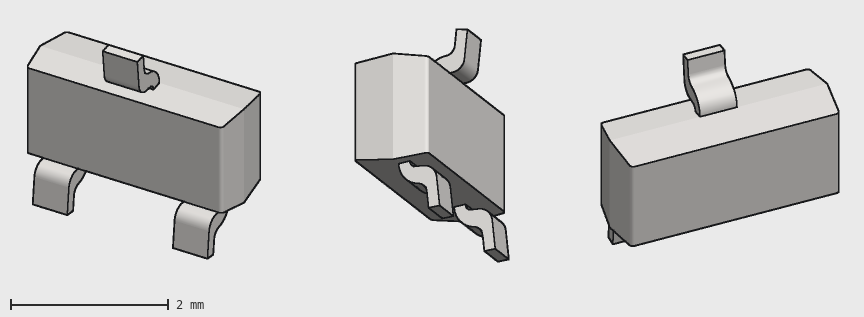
import cadquery as cq
import math

housing_length = 3.0
housing_height = 1.4
back_depth = 0.55
front_depth = 0.45
face_inset = 0.063
corner_radius = 0.05

lead_width = 0.51
lead_spacing = 2.065
root_thickness = 0.15
foot_thickness = 0.15
foot_tilt = math.radians(6.0)
tip_y = -0.552
overall_height = 2.65
shoulder_radius = 0.288
underside_z = 0.76
heel_radius = 0.18
instep_radius = 0.135

half_height = housing_height / 2


def make_half(depth, direction):
    """Half of the housing, tapering from Y = 0 along direction (+1 or -1)."""
    parting_plane = cq.Workplane(cq.Plane((0, 0, 0), (1, 0, 0), (0, direction, 0)))
    return (
        parting_plane.rect(housing_length, housing_height)
        .workplane(offset=depth)
        .rect(housing_length - 2 * face_inset, housing_height - 2 * face_inset)
        .loft(ruled=True)
    )


def make_housing():
    body = make_half(back_depth, 1).union(make_half(front_depth, -1))
    return body.faces("<Y or >Y").edges("|Z").fillet(corner_radius)


def on_circle(center, radius, angle):
    """Point (y, z) on a circle, the angle measured from +Y towards +Z."""
    return (center[0] + radius * math.cos(angle), center[1] + radius * math.sin(angle))


def make_upper_lead():
    """Lead leaving the top side at X = 0, its root flush with the tapered side."""
    sin_tilt = math.sin(foot_tilt)
    cos_tilt = math.cos(foot_tilt)

    inner_tip = (tip_y + foot_thickness * cos_tilt, overall_height / 2)
    outer_tip = (tip_y, overall_height / 2 - foot_thickness * sin_tilt)

    heel_z = underside_z + heel_radius
    heel_y = tip_y + heel_radius / cos_tilt + (outer_tip[1] - heel_z) * math.tan(foot_tilt)
    heel_center = (heel_y, heel_z)
    heel_end = math.pi + foot_tilt
    heel_start = 1.5 * math.pi

    shoulder_center = (-shoulder_radius, half_height)

    offset_tip = on_circle(inner_tip, instep_radius, foot_tilt)
    from_shoulder_y = offset_tip[0] - shoulder_center[0]
    from_shoulder_z = offset_tip[1] - shoulder_center[1]
    along_foot = from_shoulder_y * sin_tilt - from_shoulder_z * cos_tilt
    across_foot = from_shoulder_y * cos_tilt + from_shoulder_z * sin_tilt
    reach = math.sqrt((shoulder_radius + instep_radius) ** 2 - across_foot**2)
    foot_length = -along_foot - reach
    instep_center = (offset_tip[0] + foot_length * sin_tilt, offset_tip[1] - foot_length * cos_tilt)
    shoulder_end = math.atan2(
        instep_center[1] - shoulder_center[1], instep_center[0] - shoulder_center[0]
    )
    instep_start = shoulder_end + math.pi
    instep_end = math.pi + foot_tilt

    root_z = half_height - root_thickness * face_inset / front_depth
    root_radius = underside_z - root_z
    root_center = (-root_thickness - root_radius, root_z)

    outline = (
        cq.Workplane("YZ", origin=(-lead_width / 2, 0, 0))
        .moveTo(0, half_height)
        .threePointArc(
            on_circle(shoulder_center, shoulder_radius, shoulder_end / 2),
            on_circle(shoulder_center, shoulder_radius, shoulder_end),
        )
        .threePointArc(
            on_circle(instep_center, instep_radius, (instep_start + instep_end) / 2),
            on_circle(instep_center, instep_radius, instep_end),
        )
        .lineTo(*inner_tip)
        .lineTo(*outer_tip)
        .lineTo(*on_circle(heel_center, heel_radius, heel_end))
        .threePointArc(
            on_circle(heel_center, heel_radius, (heel_end + heel_start) / 2),
            on_circle(heel_center, heel_radius, heel_start),
        )
        .lineTo(root_center[0], underside_z)
        .threePointArc(
            on_circle(root_center, root_radius, math.pi / 4),
            (-root_thickness, root_z),
        )
        .close()
    )
    return outline.extrude(lead_width)


def make_lead(x, is_upper):
    lead = make_upper_lead()
    if not is_upper:
        lead = lead.mirror("XY")
    return lead.translate((x, 0, 0))


housing = make_housing().solids()

lead_places = [(0, True), (-lead_spacing / 2, False), (lead_spacing / 2, False)]
leads = [make_lead(x, is_upper).val() for x, is_upper in lead_places]

result = cq.Compound.makeCompound([housing.val(), *leads])